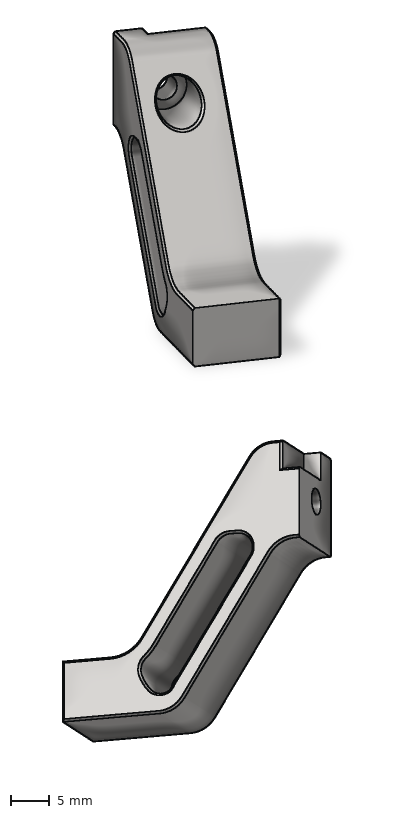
import math

import cadquery as cq

LENGTH = 32.4
WIDTH = 12.01
HEIGHT = 34.7
EDGE_CHAMFER = 0.3

PAD_HEIGHT = 13.0
FOOT_HEIGHT = 8.0
ARM_ANGLE = math.radians(57)
PAD_TOP_LENGTH = 5.76
ARM_THICKNESS = 9.52
OUTER_RADIUS = 4.0
FOOT_INNER_RADIUS = 5.0

WALL = 2.3
WINDOW_RADIUS = 2.0
WINDOW_TOP = 22.95
WINDOW_BOTTOM = 2.63
TIP_INSET = 1.86
TIP_CORNER_RADIUS = 0.5
END_RADIUS = 6.0
END_START = math.radians(-43)

NOTCH_DEPTH = 2.3
NOTCH_HEIGHT = 3.7
NOTCH_FRONT = 3.9

HOLE_Y = 5.6
HOLE_Z = 27.8
HOLE_DIAMETER = 3.4
HEAD_DIAMETER = 6.0
SEAT_X = 4.0

SELECT_MARGIN = 0.01

RUN = 1 / math.tan(ARM_ANGLE)
ACROSS_ARM = math.pi * 3 / 2 - ARM_ANGLE
SLANT_SPAN = 1 / math.sin(ARM_ANGLE)


def upper_line_x(z, inset=0.0):
    """X of the upper arm face at height z, moved into the arm by inset."""
    return PAD_TOP_LENGTH + (HEIGHT - z) * RUN - inset * SLANT_SPAN


def lower_line_x(z, inset=0.0):
    """X of the lower arm face at height z, moved into the arm by inset."""
    return upper_line_x(z, ARM_THICKNESS) + inset * SLANT_SPAN


def extrude_to_back(sketch):
    """Extrude an XZ sketch from the front face (Y = 0) to the back face."""
    return sketch.extrude(-WIDTH)


def round_corner(body, point, radius):
    """Round the edge along Y that passes through an (x, z) profile corner."""
    x, z = point
    return body.edges(cq.selectors.NearestToPointSelector((x, WIDTH / 2, z))).fillet(radius)


def arm_body():
    pad_bottom = HEIGHT - PAD_HEIGHT
    pad_corner = (upper_line_x(HEIGHT), HEIGHT)
    foot_inner_corner = (upper_line_x(FOOT_HEIGHT), FOOT_HEIGHT)
    foot_corner = (lower_line_x(0), 0)
    pad_inner_corner = (lower_line_x(pad_bottom), pad_bottom)
    body = extrude_to_back(
        cq.Workplane("XZ").polyline([
            (0, HEIGHT),
            pad_corner,
            foot_inner_corner,
            (LENGTH, FOOT_HEIGHT),
            (LENGTH, 0),
            foot_corner,
            pad_inner_corner,
            (0, pad_bottom),
        ]).close()
    )
    for corner in (pad_corner, foot_corner, pad_inner_corner):
        body = round_corner(body, corner, OUTER_RADIUS)
    return round_corner(body, foot_inner_corner, FOOT_INNER_RADIUS)


def on_circle(center, radius, angle):
    return (center[0] + radius * math.cos(angle), center[1] + radius * math.sin(angle))


def direction(start, end):
    """Angle of the line from start to end."""
    return math.atan2(end[1] - start[1], end[0] - start[0])


def arm_window():
    """Window that keeps a constant wall to the arm faces and to the rounded foot corner."""
    side_center_z = FOOT_HEIGHT + FOOT_INNER_RADIUS
    side_center = (upper_line_x(side_center_z, -FOOT_INNER_RADIUS), side_center_z)
    side_radius = FOOT_INNER_RADIUS + WALL
    side_start = on_circle(side_center, side_radius, ACROSS_ARM)

    tip_z = WINDOW_BOTTOM + WINDOW_RADIUS
    tip_center = (lower_line_x(tip_z, WALL + TIP_INSET), tip_z)
    corner_angle = ACROSS_ARM + math.acos(TIP_INSET / WINDOW_RADIUS)
    corner = on_circle(tip_center, WINDOW_RADIUS, corner_angle)
    bottom = (tip_center[0], WINDOW_BOTTOM)
    end_start = on_circle(tip_center, WINDOW_RADIUS, END_START)

    end_center = on_circle(tip_center, WINDOW_RADIUS - END_RADIUS, END_START)
    spacing = math.dist(end_center, side_center)
    crossing_cosine = (END_RADIUS**2 + spacing**2 - side_radius**2) / (2 * END_RADIUS * spacing)
    crossing_angle = direction(end_center, side_center) - math.acos(crossing_cosine)
    crossing = on_circle(end_center, END_RADIUS, crossing_angle)
    end_middle = on_circle(end_center, END_RADIUS, (END_START + crossing_angle) / 2)
    to_crossing = direction(side_center, crossing) + 2 * math.pi
    side_middle_angle = (ACROSS_ARM + to_crossing) / 2

    top_left = (lower_line_x(WINDOW_TOP, WALL), WINDOW_TOP)
    top_right = (upper_line_x(WINDOW_TOP, WALL), WINDOW_TOP)
    window = extrude_to_back(
        cq.Workplane("XZ")
        .moveTo(*corner)
        .lineTo(*top_left)
        .lineTo(*top_right)
        .lineTo(*side_start)
        .threePointArc(on_circle(side_center, side_radius, side_middle_angle), crossing)
        .threePointArc(end_middle, end_start)
        .threePointArc(bottom, corner)
        .close()
    )
    for rounded in (crossing, top_left, top_right):
        window = round_corner(window, rounded, WINDOW_RADIUS)
    return round_corner(window, corner, TIP_CORNER_RADIUS)


def pad_notch():
    return (
        cq.Workplane("XY", origin=(0, NOTCH_FRONT, HEIGHT - NOTCH_HEIGHT))
        .rect(NOTCH_DEPTH, WIDTH - NOTCH_FRONT, centered=False)
        .extrude(NOTCH_HEIGHT)
    )


def chamfer_outlines(body):
    """Bevel the front and back outlines, except the mounting face and the foot's front end edge."""
    mounting_face = cq.selectors.BoxSelector(
        (-SELECT_MARGIN, -SELECT_MARGIN, 0), (SELECT_MARGIN, WIDTH + SELECT_MARGIN, HEIGHT)
    )
    foot_front_end = cq.selectors.BoxSelector(
        (LENGTH - SELECT_MARGIN, -SELECT_MARGIN, 0), (LENGTH + SELECT_MARGIN, SELECT_MARGIN, HEIGHT)
    )
    outlines = body.faces("<Y or >Y").edges()
    return outlines.edges(cq.selectors.InverseSelector(mounting_face + foot_front_end)).chamfer(EDGE_CHAMFER)


def along_x(diameter, start_x):
    """Cylinder on the screw axis from start_x to the far end of the part."""
    return (
        cq.Workplane("YZ", origin=(start_x, HOLE_Y, HOLE_Z))
        .circle(diameter / 2)
        .extrude(LENGTH - start_x)
    )


def cut_screw_hole(body):
    body = body.cut(along_x(HEAD_DIAMETER, SEAT_X)).cut(along_x(HOLE_DIAMETER, 0))
    rim_center = (upper_line_x(HOLE_Z), HOLE_Y, HOLE_Z)
    rim = cq.selectors.NearestToPointSelector(rim_center)
    return body.edges(rim).chamfer(EDGE_CHAMFER)


result = arm_body().cut(arm_window()).cut(pad_notch())
result = chamfer_outlines(result)
result = cut_screw_hole(result)